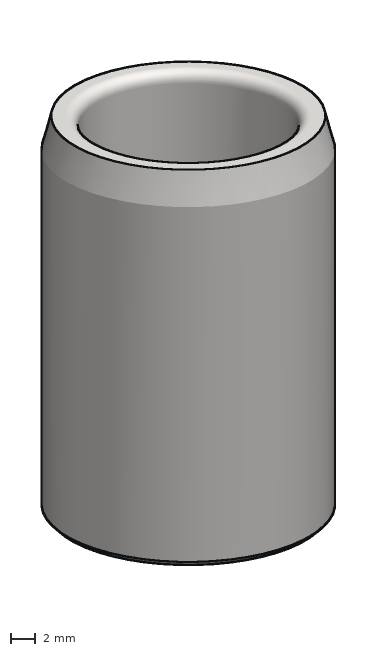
import cadquery as cq
import math

outer_diameter = 24.0
bore_diameter = 18.0
length = 35.0
lead_in_height = 3.0
lead_in_angle = 15.0
bore_mouth_radius = 1.0
bottom_chamfer = 0.5

outer_radius = outer_diameter / 2
bore_radius = bore_diameter / 2
top_radius = outer_radius - lead_in_height * math.tan(math.radians(lead_in_angle))


def make_sleeve():
    """Revolve the wall section, drawn as (radius, height), about the Z axis."""
    section = (
        cq.Workplane("XZ")
        .moveTo(bore_radius, 0)
        .lineTo(outer_radius - bottom_chamfer, 0)
        .lineTo(outer_radius, bottom_chamfer)
        .lineTo(outer_radius, length - lead_in_height)
        .lineTo(top_radius, length)
        .lineTo(bore_radius, length)
        .close()
    )
    return section.revolve(360, (0, 0, 0), (0, 1, 0))


def round_bore_mouth(sleeve):
    """Round the edge where the bore meets the top face."""
    mouth_edge = sleeve.faces(">Z").edges(cq.selectors.RadiusNthSelector(0))
    return mouth_edge.fillet(bore_mouth_radius)


result = round_bore_mouth(make_sleeve())